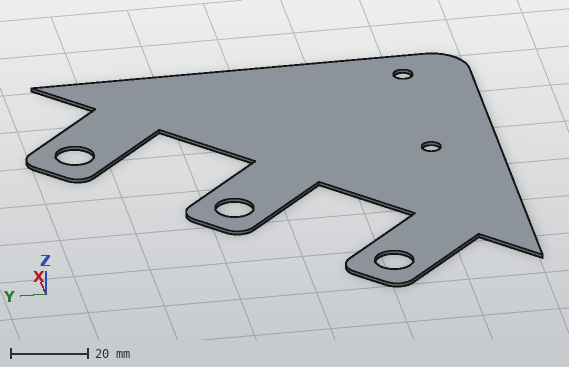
import cadquery as cq
import math

overall_size = 121.7
thickness = 1.0
leg_length = 113.2
corner_radius = 10.0

tab_pitch = 50.0
tab_width = 20.0
tab_corner_radius = 5.0
tab_hole_diameter = 10.0
tab_hole_offset = 24.0

mount_hole_diameter = 5.0
mount_hole_inset = 10.0
mount_hole_spacing = 40.0
mount_hole_height = 17.5

diagonal = math.sqrt(2)
tab_corner_reach = overall_size - leg_length / 2 - tab_pitch / diagonal - tab_corner_radius
tab_length = tab_corner_reach * diagonal - tab_width / 2 + 2 * tab_corner_radius

edge_plane = cq.Plane(
    origin=(-leg_length / 2, leg_length / 2, 0),
    xDir=(1, 1, 0),
    normal=(0, 0, 1),
)
tab_positions = (-tab_pitch, 0, tab_pitch)


def make_triangle():
    """Right triangle with its square corner at the origin, rounded there."""
    return (
        cq.Workplane("XY")
        .polyline([(0, 0), (0, leg_length), (-leg_length, 0)])
        .close()
        .extrude(thickness)
        .edges(cq.selectors.NearestToPointSelector((0, 0, thickness / 2)))
        .fillet(corner_radius)
    )


def make_tab(position):
    """One tab with a rounded outer end, overlapping the triangle by half its width."""
    root_overlap = tab_width / 2
    tab_center_y = (tab_length - root_overlap) / 2
    return (
        cq.Workplane(edge_plane)
        .center(position, tab_center_y)
        .rect(tab_width, tab_length + root_overlap)
        .extrude(thickness)
        .edges("|Z")
        .edges(">(-1, 1, 0)")
        .fillet(tab_corner_radius)
    )


def make_tab_holes():
    return (
        cq.Workplane(edge_plane)
        .pushPoints([(position, tab_hole_offset) for position in tab_positions])
        .circle(tab_hole_diameter / 2)
        .extrude(thickness)
    )


def make_mount_holes():
    first_x = -mount_hole_inset
    second_x = first_x - mount_hole_spacing
    return (
        cq.Workplane("XY")
        .pushPoints([(first_x, mount_hole_height), (second_x, mount_hole_height)])
        .circle(mount_hole_diameter / 2)
        .extrude(thickness)
    )


plate = make_triangle()
for tab_position in tab_positions:
    plate = plate.union(make_tab(tab_position))

result = plate.cut(make_tab_holes()).cut(make_mount_holes())